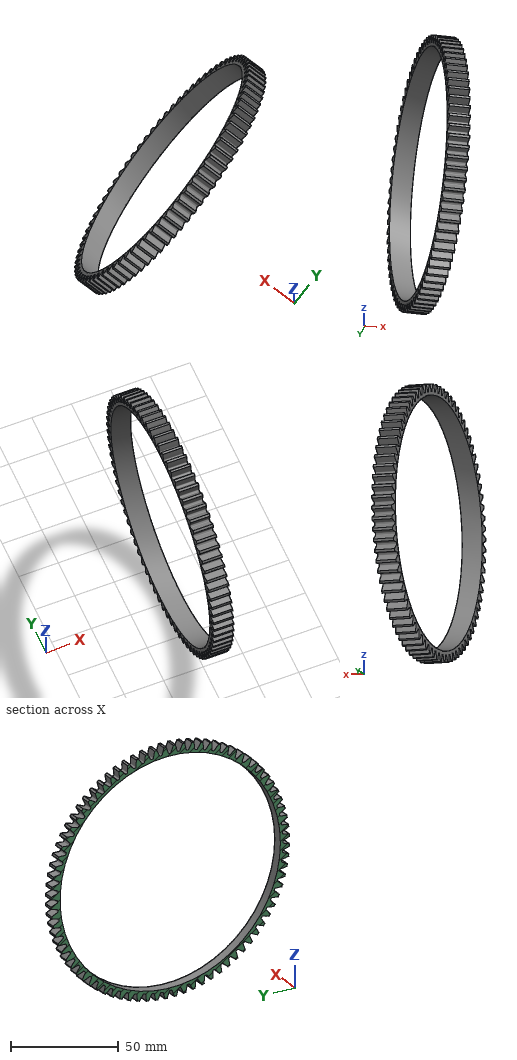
import cadquery as cq
import math

module = 1.59
tooth_count = 80
pressure_angle = math.radians(20)
face_width = 10.0
bore_radius = 60.0
root_fillet_radius = 0.4
dedendum_factor = 1.25
flank_segments = 4

pitch_angle = 2 * math.pi / tooth_count
pitch_radius = module * tooth_count / 2
base_radius = pitch_radius * math.cos(pressure_angle)
tip_radius = pitch_radius + module
root_radius = pitch_radius - dedendum_factor * module


def involute(angle):
    """Involute function of a pressure angle."""
    return math.tan(angle) - angle


base_half_angle = pitch_angle / 4 + involute(pressure_angle)


def half_tooth_angle(radius):
    """Angle from a tooth's centre line to its involute flank at a radius."""
    return base_half_angle - involute(math.acos(base_radius / radius))


def polar(radius, angle):
    """Point in the YZ plane, with the angle measured from +Y towards +Z."""
    return (radius * math.cos(angle), radius * math.sin(angle))


def flank_points(centre_angle, side):
    """Points up one involute flank, from root to tip; side is -1 or +1."""
    step = (tip_radius - root_radius) / flank_segments
    radii = [root_radius + step * i for i in range(flank_segments + 1)]
    return [polar(radius, centre_angle + side * half_tooth_angle(radius)) for radius in radii]


def add_tooth(profile, centre_angle):
    """Draw one tooth and the root land that follows it."""
    rising = flank_points(centre_angle, -1)
    falling = flank_points(centre_angle, 1)[::-1]
    next_centre = centre_angle + pitch_angle
    land_middle = polar(root_radius, centre_angle + pitch_angle / 2)
    land_end = polar(root_radius, next_centre - half_tooth_angle(root_radius))
    profile = profile.spline(rising[1:], includeCurrent=True)
    profile = profile.threePointArc(polar(tip_radius, centre_angle), falling[0])
    profile = profile.spline(falling[1:], includeCurrent=True)
    return profile.threePointArc(land_middle, land_end)


def make_toothed_disc():
    """Solid disc with all teeth, the first flank's involute starting on the +Y axis."""
    first_centre = base_half_angle
    start = polar(root_radius, first_centre - half_tooth_angle(root_radius))
    profile = cq.Workplane("YZ", origin=(-face_width / 2, 0, 0)).moveTo(*start)
    for i in range(tooth_count):
        profile = add_tooth(profile, first_centre + i * pitch_angle)
    return profile.close().extrude(face_width)


def round_roots(disc):
    """Fillet the two inside corners at the bottom of every tooth gap."""
    corner_distance = (root_radius + pitch_radius) / 2
    corners = [
        edge
        for edge in disc.edges("|X").vals()
        if math.hypot(edge.Center().y, edge.Center().z) < corner_distance
    ]
    return disc.newObject(corners).fillet(root_fillet_radius)


def cut_bore(disc):
    """Cut the bore right through the middle of the disc."""
    return disc.faces("<X").workplane(origin=(0, 0, 0)).circle(bore_radius).cutThruAll()


result = cut_bore(round_roots(make_toothed_disc()))